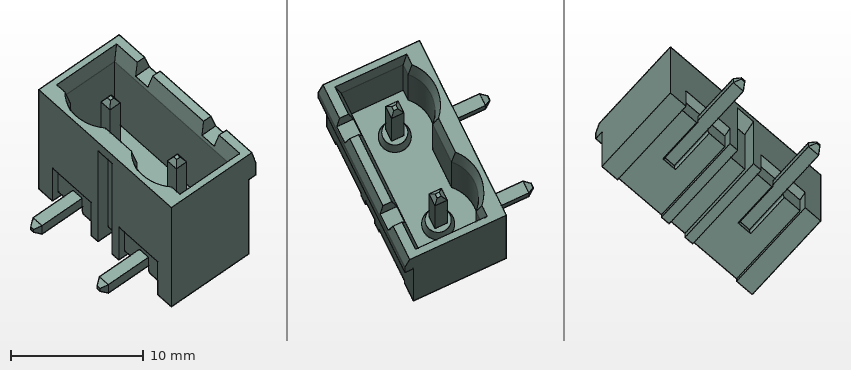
import cadquery as cq


width = 15.24
depth = 7.8
height = 12.0
pitch = 7.62
pin_xs = (-pitch / 2, pitch / 2)
pin_y = depth / 2

lip_reach = 0.7
lip_height = 3.02
lip_slope_height = 1.54
lip_slope_run = 0.4

floor_z = 3.35
flare_height = 1.57
side_wall = 0.8
side_flare = 0.25
front_wall = 1.75
end_flare = 0.41
scallop_radius = 3.05
scallop_half_span = 2.75
socket_width = width - 2 * side_wall
socket_back_y = pin_y + scallop_radius
socket_depth = socket_back_y - front_wall
socket_y = (socket_back_y + front_wall) / 2
flare_z = height - flare_height

notch_depth = 1.25
notch_floor_width = 1.4
notch_top_width = 1.78

pin_size = 1.04
tip_size = 0.35
tip_length = 0.53
pin_top_z = 11.35
tail_z = 1.92
tail_reach = 4.0

collar_base_radius = 1.25
collar_top_radius = 0.99
collar_height = 1.15

slot_width = 1.6
slot_recess = 0.99
slot_top_z = 10.97
slot_channel = 1.0
tail_recess_width = 4.45
tail_recess = 0.58
tail_recess_top_z = 4.0
tail_channel = 0.64

mouth_spread = 0.12
mouth_height = 0.38
mouth_radius = (mouth_height**2 + mouth_spread**2) / (2 * mouth_spread)


def box(x_size, y_range, z_range, x=0.0):
    """Box centred on x that spans the given Y and Z ranges."""
    y0, y1 = y_range
    z0, z1 = z_range
    return cq.Workplane("XY").box(x_size, y1 - y0, z1 - z0, centered=(True, False, False)).translate((x, y0, z0))


def make_housing():
    back_y = depth + lip_reach
    profile = [
        (0, 0),
        (depth, 0),
        (depth, height - lip_height),
        (back_y, height - lip_height),
        (back_y, height - lip_slope_height),
        (back_y - lip_slope_run, height),
        (0, height),
    ]
    return cq.Workplane("YZ").polyline(profile).close().extrude(width / 2, both=True)


def make_scallop(x):
    """Round bulge of the socket into the front wall, cylindrical with a conical flare."""
    profile = [
        (0, floor_z),
        (scallop_radius, floor_z),
        (scallop_radius, flare_z),
        (scallop_radius + end_flare, height),
        (0, height),
    ]
    bulge = cq.Workplane("XZ").polyline(profile).close().revolve(360, (0, 0, 0), (0, 1, 0))
    keep = box(2 * scallop_half_span, (0, pin_y), (floor_z, height), x)
    return bulge.translate((x, pin_y, 0)).intersect(keep)


def make_socket():
    socket = box(socket_width, (front_wall, socket_back_y), (floor_z, flare_z))
    flare = (
        cq.Workplane("XY", origin=(0, socket_y, flare_z))
        .rect(socket_width, socket_depth)
        .workplane(offset=flare_height)
        .rect(socket_width + 2 * side_flare, socket_depth + 2 * end_flare)
        .loft(ruled=True)
    )
    socket = socket.union(flare)
    for x in pin_xs:
        socket = socket.union(make_scallop(x))
    return socket


def make_notch(x):
    profile = [
        (x - notch_floor_width / 2, height - notch_depth),
        (x + notch_floor_width / 2, height - notch_depth),
        (x + notch_top_width / 2, height),
        (x - notch_top_width / 2, height),
    ]
    length = depth + lip_reach - pin_y
    return cq.Workplane("XZ", origin=(0, pin_y, 0)).polyline(profile).close().extrude(-length)


def make_recess(x, recess_width, recess_depth, top_z, channel_height):
    """Front recess with a 45 degree ceiling, joined to a channel running front to back."""
    profile = [
        (0, 0),
        (depth, 0),
        (depth, channel_height),
        (recess_depth, channel_height),
        (recess_depth, top_z - recess_depth),
        (0, top_z),
    ]
    outline = cq.Workplane("YZ", origin=(x, 0, 0)).polyline(profile).close()
    return outline.extrude(recess_width / 2, both=True)


def make_pin_groove(x):
    """Groove from the channel up to the tail, with rounded lower edges."""
    half = pin_size / 2
    mouth = half + mouth_spread
    mouth_top_z = tail_channel + mouth_height
    outline = (
        cq.Workplane("XZ")
        .moveTo(x - mouth, tail_channel)
        .lineTo(x + mouth, tail_channel)
        .radiusArc((x + half, mouth_top_z), mouth_radius)
        .lineTo(x + half, tail_z)
        .lineTo(x - half, tail_z)
        .lineTo(x - half, mouth_top_z)
        .radiusArc((x - mouth, tail_channel), mouth_radius)
        .close()
    )
    return outline.extrude(-(pin_y + half))


def make_bar(length):
    """Square bar along Z from the origin, its far end tapered to a blunt tip."""
    shaft_length = length - tip_length
    shaft = cq.Workplane("XY").rect(pin_size, pin_size).extrude(shaft_length)
    tip = (
        cq.Workplane("XY", origin=(0, 0, shaft_length))
        .rect(pin_size, pin_size)
        .workplane(offset=tip_length)
        .rect(tip_size, tip_size)
        .loft(ruled=True)
    )
    return shaft.union(tip)


def make_pin(x):
    half = pin_size / 2
    post_bottom_z = tail_z - half
    post = make_bar(pin_top_z - post_bottom_z).translate((x, pin_y, post_bottom_z))
    tail = make_bar(pin_y + tail_reach).rotate((0, 0, 0), (1, 0, 0), 90).translate((x, pin_y, tail_z))
    return post.union(tail)


def make_collar(x):
    profile = [
        (0, 0),
        (collar_base_radius, 0),
        (collar_top_radius, collar_height),
        (0, collar_height),
    ]
    collar = cq.Workplane("XZ").polyline(profile).close().revolve(360, (0, 0, 0), (0, 1, 0))
    return collar.translate((x, pin_y, floor_z))


result = make_housing().cut(make_socket())
result = result.cut(make_recess(0, slot_width, slot_recess, slot_top_z, slot_channel))
for pin_x in pin_xs:
    result = result.cut(make_notch(pin_x))
    result = result.cut(make_recess(pin_x, tail_recess_width, tail_recess, tail_recess_top_z, tail_channel))
    result = result.cut(make_pin_groove(pin_x))
    result = result.union(make_collar(pin_x))
    result = result.union(make_pin(pin_x))